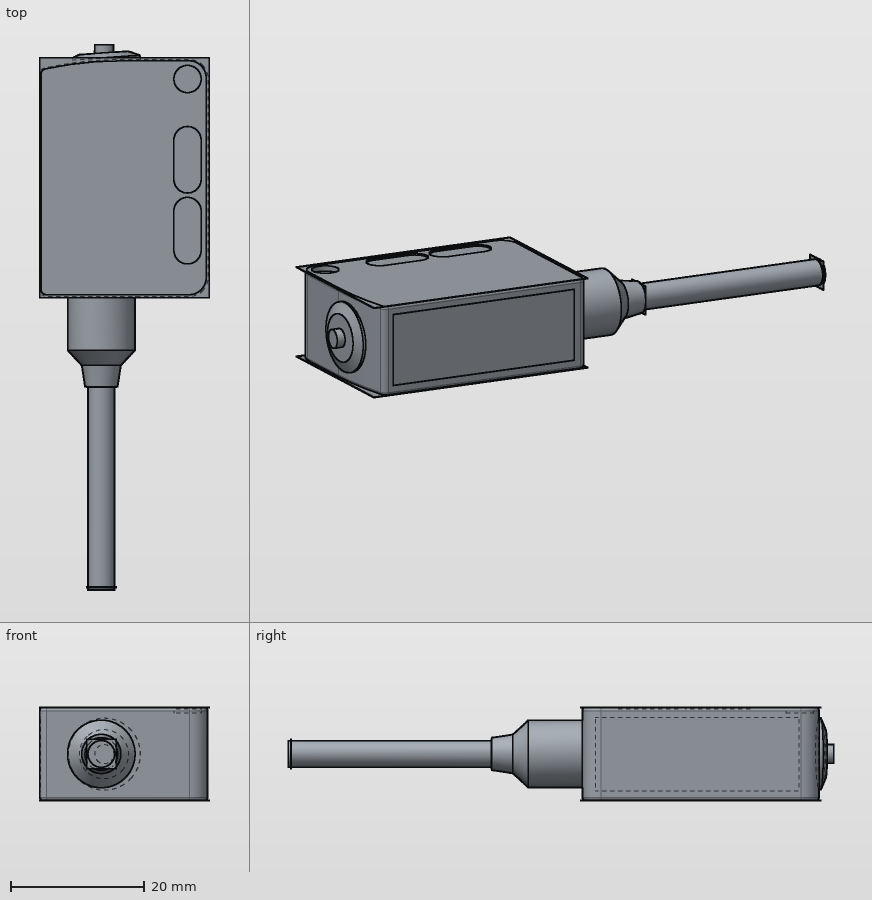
import cadquery as cq
import math

overall_length = 81.9

skin_width = 25.5
skin_depth = 36.0
skin_thickness = 0.1
housing_height = 14.0
half_height = housing_height / 2

body_inset = 0.25
edge_fillet = 0.5
left_corner_radius = 1.0
right_corner_radius = 2.8
rear_curve_span = 12.3
rear_curve_drop = 1.4
body_right = skin_width - body_inset
body_rear = skin_depth - body_inset

window_depth = 0.1
window_margin_z = 1.5
window_front_y = 2.2
window_rear_y = 32.75

indicator_depth = 0.8
slot_depth = 0.25
recess_width = 4.1
recess_x = skin_width - 3.3
indicator_y = skin_depth - 3.2
slot_length = 10.0
slot_ys = [skin_depth - 15.3, skin_depth - 25.95]

adjuster_x = 9.7
dial_radius = 5.4
dial_top_radius = 3.7
dial_cone_height = 0.7
dial_root = 2.45
dial_tilt = 4.0
button_diameter = 2.9
button_projection = 2.0

cable_x = 9.25
cable_diameter = 4.0
cable_tip = overall_length - skin_depth - button_projection
relief_root = 0.8
relief_radius = 5.1
relief_barrel_end = 7.9
relief_cone_end = 10.15
relief_neck_radius = 2.95
relief_end = 13.35
relief_end_radius = 2.45
collar_size = 4.4
collar_thickness = 0.1
collar_setback = 0.5


def make_body():
    """Box with a gently curved rear face and softened edges."""
    curve_radius = (rear_curve_span**2 + rear_curve_drop**2) / (2 * rear_curve_drop)
    mid_x = rear_curve_span / 2
    mid_drop = curve_radius - math.sqrt(curve_radius**2 - (rear_curve_span - mid_x) ** 2)
    body = (
        cq.Workplane("XY")
        .workplane(offset=-half_height)
        .moveTo(0, body_inset)
        .lineTo(body_right, body_inset)
        .lineTo(body_right, body_rear)
        .lineTo(rear_curve_span, body_rear)
        .threePointArc((mid_x, body_rear - mid_drop), (0, body_rear - rear_curve_drop))
        .close()
        .extrude(housing_height)
    )
    body = body.edges("|Z and <X").fillet(left_corner_radius)
    body = body.edges("|Z and >X").fillet(right_corner_radius)
    return body.faces("<Z or >Z").edges().fillet(edge_fillet)


def make_skin(bottom_z):
    """Thin rectangular sheet lying over one end of the body."""
    return (
        cq.Workplane("XY")
        .box(skin_width, skin_depth, skin_thickness, centered=False)
        .translate((0, 0, bottom_z))
    )


def make_window():
    """Cutter for the shallow window in the left face."""
    window = cq.Workplane("XY").box(
        2 * window_depth,
        window_rear_y - window_front_y,
        housing_height - 2 * window_margin_z,
    )
    return window.translate((0, (window_front_y + window_rear_y) / 2, 0))


def make_top_recesses():
    """Cutters for the round indicator and the two long control pads."""
    top = cq.Workplane("XY").workplane(offset=half_height)
    cutters = top.center(recess_x, indicator_y).circle(recess_width / 2).extrude(-indicator_depth)
    for slot_y in slot_ys:
        slot = top.center(recess_x, slot_y).slot2D(slot_length, recess_width, 90)
        cutters = cutters.union(slot.extrude(-slot_depth))
    return cutters


def make_adjuster():
    """Conical dial tilted to follow the rear curve, with a straight button in its middle."""
    dial = (
        cq.Workplane("XY")
        .moveTo(0, -dial_root)
        .lineTo(dial_radius, -dial_root)
        .lineTo(dial_radius, 0)
        .lineTo(dial_top_radius, dial_cone_height)
        .lineTo(0, dial_cone_height)
        .close()
        .revolve(360, (0, 0, 0), (0, 1, 0))
        .rotate((0, 0, 0), (0, 0, 1), dial_tilt)
    )
    button = cq.Workplane("XZ").circle(button_diameter / 2).extrude(-button_projection)
    return dial.union(button).translate((adjuster_x, skin_depth, 0))


def make_cable():
    """Stepped strain relief and cable as one turned shape."""
    cable_radius = cable_diameter / 2
    return (
        cq.Workplane("XY")
        .moveTo(0, relief_root)
        .lineTo(relief_radius, relief_root)
        .lineTo(relief_radius, -relief_barrel_end)
        .lineTo(relief_neck_radius, -relief_cone_end)
        .lineTo(relief_end_radius, -relief_end)
        .lineTo(cable_radius, -relief_end)
        .lineTo(cable_radius, -cable_tip)
        .lineTo(0, -cable_tip)
        .close()
        .revolve(360, (0, 0, 0), (0, 1, 0))
        .translate((cable_x, 0, 0))
    )


def make_collar(rear_y):
    """Thin square sheet around the cable."""
    collar = cq.Workplane("XZ").rect(collar_size, collar_size).extrude(collar_thickness)
    return collar.translate((cable_x, rear_y, 0))


result = make_body().cut(make_window())
for skin_z in (-half_height, half_height - skin_thickness):
    result = result.union(make_skin(skin_z))
result = result.cut(make_top_recesses())
result = result.union(make_adjuster()).union(make_cable())
for collar_y in (-relief_end, collar_setback - cable_tip):
    result = result.union(make_collar(collar_y))